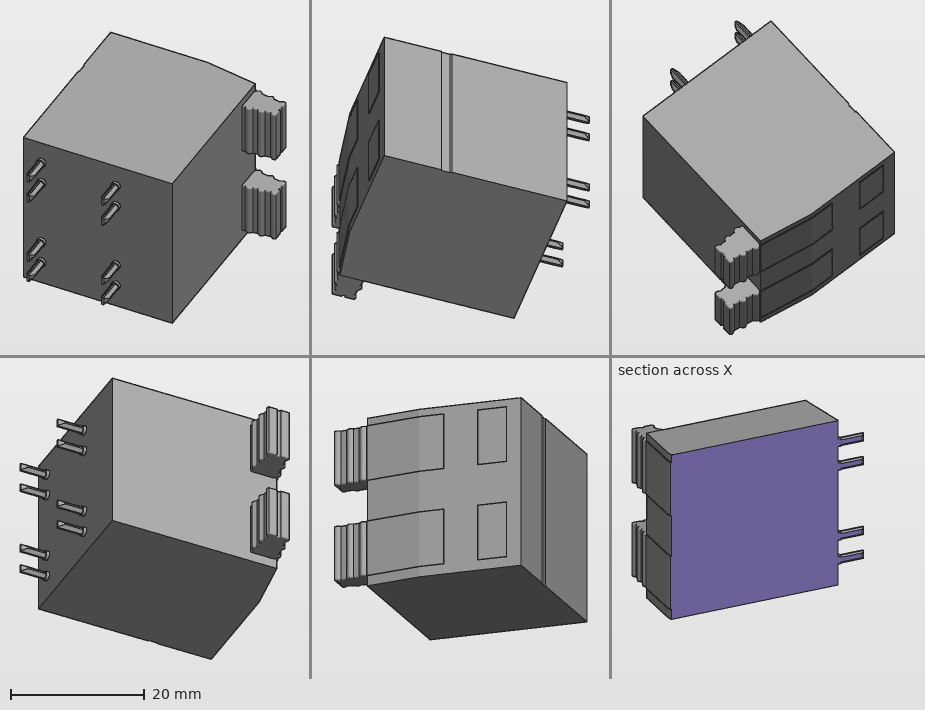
import cadquery as cq
import math

body_length = 25.0
body_depth = 28.85
body_height = 26.4
slope_start = 16.2
slope_drop = 1.4

groove_near = 18.2
groove_width = 1.6
groove_depth = 0.15
groove_ramp = 0.2

strip_height = 0.15
strip_start = 2.3
strip_end = 6.9
long_strip_start = 12.3

lever_pitch = 15.0
lever_thickness = 8.6
lever_bottom = 1.6
lever_bottoms = [lever_bottom + i * lever_pitch for i in range(2)]
lever_end = 30.5
lever_edge_radius = 0.25
lever_root_inset = 1.0
lever_root_drop = 2.8

upper_base_y = body_depth - 1.4
upper_taper = -0.165
upper_ridges = (25.75, 27.95)
lower_base_y = body_depth - 5.8
lower_taper = 0.11
lower_ridges = (26.1, 28.05)
ridge_foot = 0.62
ridge_crest = 0.3
ridge_shoulder = 0.24
ridge_height = 0.38
end_ridge_start = 29.5
end_notch_radius = 0.28
end_notch_y = body_depth - 3.75

pin_x_positions = (3.1, 15.6)
pin_pair_pitch = 3.8
pin_length = 4.5
collar_diameter = 1.43
collar_length = 0.5
shaft_across_corners = 1.27
shaft_corner_flat = 0.25
tip_width = 0.4
tip_length = 0.95


def slope_y(x):
    """Y of the sloped rear face at x."""
    return body_depth - slope_drop * (x - slope_start) / (body_length - slope_start)


def make_body():
    """Housing block with a sloped rear corner and a groove having one ramped wall."""
    groove_far = groove_near + groove_width
    return (
        cq.Workplane("XY")
        .polyline([
            (0, 0),
            (body_length, 0),
            (body_length, slope_y(body_length)),
            (slope_start, body_depth),
            (0, body_depth),
            (0, groove_far),
            (groove_depth, groove_far),
            (groove_depth, groove_near + groove_ramp),
            (0, groove_near),
        ])
        .close()
        .extrude(body_height)
    )


def make_strips(z):
    """Thin raised strips at one lever level; the long one follows the slope."""
    short_strip = (
        cq.Workplane("XY", origin=(strip_start, body_depth - strip_height, z))
        .box(strip_end - strip_start, 2 * strip_height, lever_thickness, centered=False)
    )
    corner_y = slope_y(body_length)
    long_strip = (
        cq.Workplane("XY", origin=(0, 0, z))
        .polyline([
            (long_strip_start, body_depth - strip_height),
            (slope_start, body_depth - strip_height),
            (body_length, corner_y - strip_height),
            (body_length, corner_y + strip_height),
            (slope_start, body_depth + strip_height),
            (long_strip_start, body_depth + strip_height),
        ])
        .close()
        .extrude(lever_thickness)
    )
    return short_strip.union(long_strip)


def add_ridge(profile, center, base, side, direction):
    """Continue the profile over one rounded ridge; side is +1 for +Y, -1 for -Y."""
    start = center - direction * ridge_foot
    rise = center - direction * ridge_crest
    fall = center + direction * ridge_crest
    finish = center + direction * ridge_foot
    return (
        profile.lineTo(start, base(start))
        .lineTo(rise, base(rise) + side * ridge_shoulder)
        .threePointArc(
            (center, base(center) + side * ridge_height),
            (fall, base(fall) + side * ridge_shoulder),
        )
        .lineTo(finish, base(finish))
    )


def add_end_ridge(profile, base, side, outward):
    """Half ridge at the lever's free end, ending (or starting) on the end face."""
    crest_start = end_ridge_start + ridge_foot - ridge_crest
    crest_middle = (crest_start + lever_end) / 2
    foot = (end_ridge_start, base(end_ridge_start))
    shoulder = (crest_start, base(crest_start) + side * ridge_shoulder)
    crest = (crest_middle, base(crest_middle) + side * ridge_height)
    corner = (lever_end, base(lever_end) + side * ridge_shoulder)
    if outward:
        return profile.lineTo(*foot).lineTo(*shoulder).threePointArc(crest, corner)
    return profile.lineTo(*corner).threePointArc(crest, shoulder).lineTo(*foot)


def make_lever(z):
    """Ridged grip rooted inside the housing, with rounded upper and lower edges."""
    def upper(x):
        return upper_base_y + upper_taper * (x - body_length)

    def lower(x):
        return lower_base_y + lower_taper * (x - body_length)

    root = body_length - lever_root_inset
    profile = cq.Workplane("XY", origin=(0, 0, z)).moveTo(root, lower(root))
    for center in lower_ridges:
        profile = add_ridge(profile, center, lower, -1, 1)
    profile = add_end_ridge(profile, lower, -1, True)
    profile = (
        profile.lineTo(lever_end, end_notch_y - end_notch_radius)
        .threePointArc(
            (lever_end - end_notch_radius, end_notch_y),
            (lever_end, end_notch_y + end_notch_radius),
        )
    )
    profile = add_end_ridge(profile, upper, 1, False)
    for center in reversed(upper_ridges):
        profile = add_ridge(profile, center, upper, 1, -1)
    lever = profile.lineTo(root, body_depth - lever_root_drop).close().extrude(lever_thickness)
    return lever.faces("<Z or >Z").edges().fillet(lever_edge_radius)


def make_pin():
    """Pin along -Y from the origin: round collar, diamond shaft with flattened corners, wedge tip."""
    collar = cq.Workplane("XZ").circle(collar_diameter / 2).extrude(collar_length)
    across_flats = (shaft_across_corners + shaft_corner_flat) / math.sqrt(2)
    corner_trim = cq.Workplane("XZ").rect(shaft_across_corners, shaft_across_corners).extrude(pin_length)
    shaft = (
        cq.Workplane("XZ")
        .transformed(rotate=(0, 0, 45))
        .rect(across_flats, across_flats)
        .extrude(pin_length)
        .intersect(corner_trim)
    )
    half_width = shaft_across_corners / 2
    wedge = (
        cq.Workplane("XY")
        .polyline([
            (-half_width, 0),
            (-half_width, tip_length - pin_length),
            (-tip_width / 2, -pin_length),
            (tip_width / 2, -pin_length),
            (half_width, tip_length - pin_length),
            (half_width, 0),
        ])
        .close()
        .extrude(half_width, both=True)
    )
    return collar.union(shaft.intersect(wedge))


result = make_body()
pin = make_pin()
for level in lever_bottoms:
    result = result.union(make_strips(level))
    result = result.union(make_lever(level))
    lever_middle = level + lever_thickness / 2
    for pin_x in pin_x_positions:
        for offset in (-pin_pair_pitch / 2, pin_pair_pitch / 2):
            result = result.union(pin.translate((pin_x, 0, lever_middle + offset)))